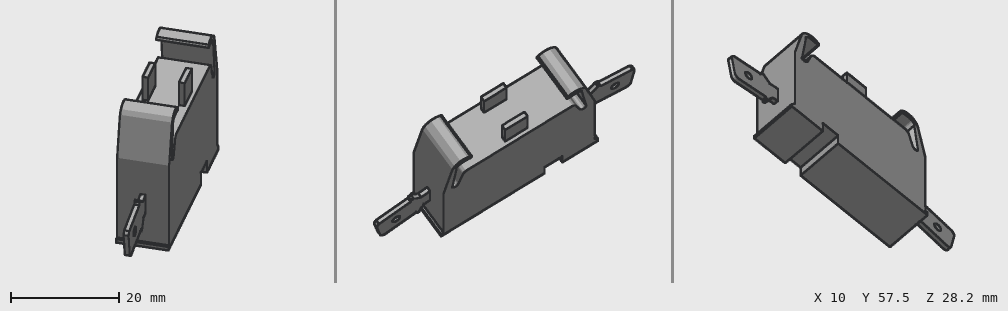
import cadquery as cq
import math

overall_length = 57.5

width = 10.0
height = 28.2
wall_y = 16.85
deck_z = 22.4
clip_root_z = 18.45

foot_y = 17.6
foot_z = 0.7
foot_slope_top_z = 1.65
plain_foot_y = 17.4
plain_foot_z = 0.8

notch_inner_y = 5.65
notch_outer_y = 9.6
notch_depth = 2.6

hook_outer = (15.0, 26.2)
hook_crown = (12.5, height)
hook_tip_top = (10.85, 27.65)
hook_tip_middle = (10.6, 27.25)
hook_tip_bottom = (10.85, 26.95)
hook_inner_crown = (12.5, 27.15)
hook_inner_shoulder = (13.4, 26.95)
hook_inner_bend = (13.85, 26.6)
hook_inner = (14.0, 25.95)

slot_outer = (14.95, 18.75)
slot_bottom_y = 14.25
slot_bottom_z = 18.3
slot_inner = (13.55, 18.75)
deck_bevel = (12.55, 21.85)
deck_round = (12.2, 22.25)
deck_end_y = 11.55

blade_length = 5.0
blade_thickness = 1.1
blade_top_z = 27.5
blade_offset = 3.5

terminal_thickness = 1.0
terminal_droop = math.radians(10)
hole_y = 24.4
hole_z = 7.95
hole_diameter = 1.7
tab_half_width = 3.15
tip_chamfer = 0.65
tab_tip = (
    overall_length / 2 - hole_y - (tab_half_width - tip_chamfer) * math.sin(terminal_droop)
) / math.cos(terminal_droop)
tip_radius = 1.1
barb_half_width = 3.7
barb_outer = -4.0
barb_inner = -4.55
barb_bend = -5.0
barb_bend_half_width = 3.0
tab_shoulder = -3.8
neck_half_width = 1.95
neck_start = -6.0


def half_housing(side, foot_points):
    """Half of the housing on the +Y (side = 1) or -Y (side = -1) side of the Y = 0 plane."""
    def at(point):
        return (side * point[0], point[1])

    profile = cq.Workplane("YZ").moveTo(0, 0)
    for point in foot_points:
        profile = profile.lineTo(*at(point))
    profile = (
        profile
        .lineTo(*at((wall_y, clip_root_z)))
        .lineTo(*at(hook_outer))
        .threePointArc(at(hook_crown), at(hook_tip_top))
        .threePointArc(at(hook_tip_middle), at(hook_tip_bottom))
        .threePointArc(at(hook_inner_crown), at(hook_inner_shoulder))
        .threePointArc(at(hook_inner_bend), at(hook_inner))
        .lineTo(*at(slot_outer))
        .threePointArc(at((slot_bottom_y, slot_bottom_z)), at(slot_inner))
        .lineTo(*at(deck_bevel))
        .threePointArc(at(deck_round), at((deck_end_y, deck_z)))
        .lineTo(0, deck_z)
        .close()
    )
    return profile.extrude(width / 2, both=True)


def make_housing():
    sloped_foot = [(foot_y, 0), (foot_y, foot_z), (wall_y, foot_slope_top_z)]
    square_foot = [(plain_foot_y, 0), (plain_foot_y, plain_foot_z), (wall_y, plain_foot_z)]
    body = half_housing(1, sloped_foot).union(half_housing(-1, square_foot))

    notch = (
        cq.Workplane("XY")
        .box(width, notch_outer_y - notch_inner_y, notch_depth, centered=(True, False, False))
        .translate((0, notch_inner_y, 0))
    )
    body = body.cut(notch)

    for side in (-1, 1):
        blade = (
            cq.Workplane("XY")
            .box(blade_thickness, blade_length, blade_top_z - deck_z, centered=(True, True, False))
            .translate((side * blade_offset, 0, deck_z))
        )
        body = body.union(blade)
    return body


def neck_end(offset):
    """Distance along the terminal axis at which a line at this offset meets the end wall."""
    return (wall_y - hole_y - offset * math.sin(terminal_droop)) / math.cos(terminal_droop)


def make_terminal(side):
    """Barbed tab terminal that butts against the end wall on the given Y side."""
    round_middle = tip_radius * (1 - math.sqrt(0.5))
    terminal = (
        cq.Workplane("YZ")
        .moveTo(neck_end(neck_half_width), neck_half_width)
        .lineTo(neck_start, neck_half_width)
        .lineTo(barb_bend, barb_bend_half_width)
        .lineTo(barb_inner, barb_half_width)
        .lineTo(barb_outer, barb_half_width)
        .lineTo(tab_shoulder, tab_half_width)
        .lineTo(tab_tip - tip_chamfer, tab_half_width)
        .lineTo(tab_tip, tab_half_width - tip_chamfer)
        .lineTo(tab_tip, tip_radius - tab_half_width)
        .threePointArc(
            (tab_tip - round_middle, round_middle - tab_half_width),
            (tab_tip - tip_radius, -tab_half_width),
        )
        .lineTo(barb_outer, -tab_half_width)
        .lineTo(barb_outer, -barb_half_width)
        .lineTo(barb_inner, -barb_half_width)
        .lineTo(barb_bend, -barb_bend_half_width)
        .lineTo(neck_start, -neck_half_width)
        .lineTo(neck_end(-neck_half_width), -neck_half_width)
        .close()
        .extrude(terminal_thickness / 2, both=True)
    )
    hole = cq.Workplane("YZ").circle(hole_diameter / 2).extrude(terminal_thickness / 2, both=True)
    terminal = (
        terminal.cut(hole)
        .rotate((0, 0, 0), (1, 0, 0), -math.degrees(terminal_droop))
        .translate((0, hole_y, hole_z))
    )
    if side < 0:
        terminal = terminal.mirror("XZ")
    return terminal


housing = make_housing()
terminals = [make_terminal(side) for side in (-1, 1)]

result = cq.Compound.makeCompound([housing.val(), *[terminal.val() for terminal in terminals]])